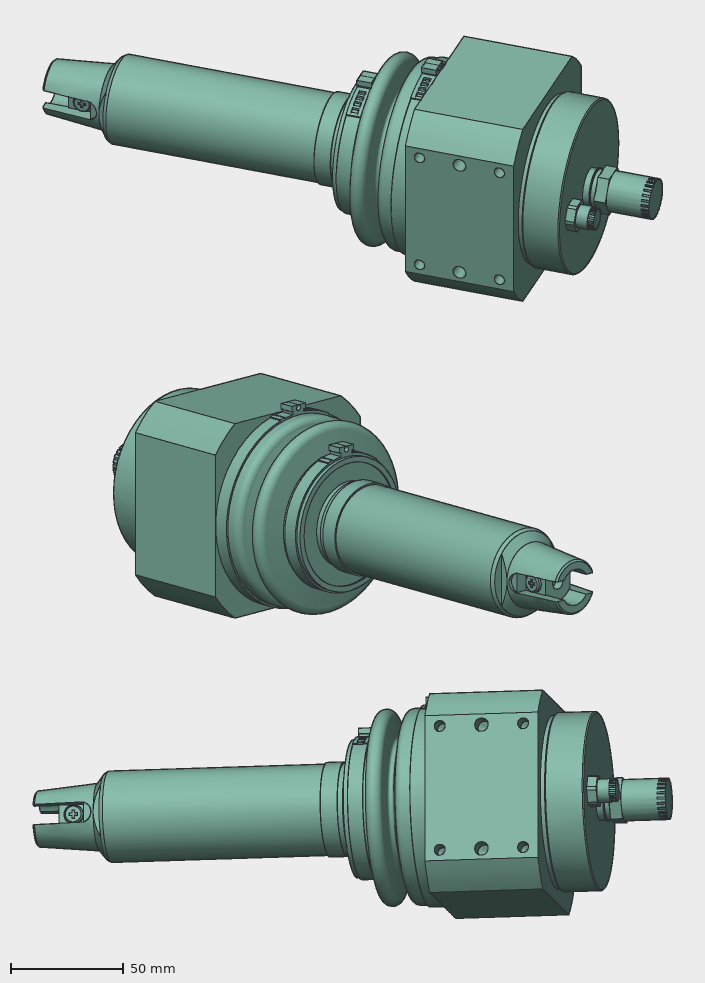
import cadquery as cq
import math

total_length = 285.5
total_height = 93.7

nose_tip_radius = 12.5
nose_base_radius = 15.0
nose_length = 28.0
tip_chamfer = 0.9
seat_diameter = 16.5
seat_depth = 11.0
pilot_diameter = 6.3
pilot_depth = 4.3
slot_width = 9.0
pocket_floor = 7.7
pocket_end = 23.5
relief_floor = 13.5
relief_end = 26.8
screw_x = 18.0
screw_diameter = 8.5
screw_top = 9.7
screw_bevel = 0.7
recess_length = 3.7
recess_width = 1.0
recess_depth = 0.9
flat_offset = 15.0
flat_end = 31.5

tube_diameter = 40.8
tube_radius = tube_diameter / 2
tube_start = 33.0
shoulder_radius = 19.5
collar_radius = 21.0
collar_start = 131.5
collar_end = 139.3
groove_start = 141.5
groove_radius = 19.7

cuff_start = 144.0
cuff_radius = 30.8
cuff_mouth_radius = 28.3
cuff_mouth_depth = 0.9
small_band_start = 146.0
fold_foot_start = 154.5
fold_center = 159.3
fold_radius = 44.0
fold_tip_rounding = 3.7
valley_start = 164.2
valley_end = 166.8
valley_radius = 31.5
valley_sag = 1.0
end_fold_rounding = 3.5
end_fold_start = 169.0

band_width = 6.9
band_thickness = 0.9
large_band_start = 176.5
ear_head_half_width = 4.3
ear_neck_half_width = 3.5
ear_head_height = 2.5
ear_root_depth = 2.9
small_ear_top = 35.7
ear_hole_diameter = 2.5
ear_hole_drop = 1.5
ear_foot_start = 8.5
ear_foot_end = 11.0
pad_thickness = 0.43
pad_end = 18.5
clamp_slot_count = 4
clamp_slot_length = 3.0
clamp_slot_width = 2.0
clamp_slot_pitch = 3.0
clamp_slot_first = 6.9
clamp_slot_depth = 0.9

block_start = large_band_start + band_width
block_end = 234.5
block_side = 90.0
block_corner_radius = 55.7
hole_height = 28.0
hole_spacing = 18.8
screw_hole_diameter = 4.9
dowel_hole_diameter = 6.0
block_hole_depth = 8.5
drill_point_angle = 118.0

cover_neck_radius = 38.8
cover_start = 236.5
cover_end = 254.0
cover_radius = 40.0
cover_chamfer = 0.5

stub_diameter = 17.5
barrel_diameter = 18.5
ring_start = 257.3
ring_width = 0.5
main_nut_start = 260.0
main_nut_end = 265.5
main_nut_flats = 18.5
main_knurl_length = 3.7
main_knurl_count = 24

side_y = -24.8
side_nut_end = 258.5
side_nut_flats = 13.0
side_nut_corners = 14.3
side_body_diameter = 10.5
side_body_end = 263.8
side_tip_diameter = 10.0
side_tip_end = 266.7
side_knurl_count = 16
knurl_depth = 0.43
knurl_width = 0.9

block_middle = (block_start + block_end) / 2
large_ear_top = total_height - block_side / 2


def box(x0, x1, y0, y1, z0, z1):
    """Box between two opposite corners."""
    return cq.Workplane("XY").box(x1 - x0, y1 - y0, z1 - z0, centered=False).translate((x0, y0, z0))


def rod(x0, x1, diameter, y=0.0, z=0.0):
    """Cylinder along X."""
    return cq.Workplane("YZ", origin=(x0, y, z)).circle(diameter / 2).extrude(x1 - x0)


def hexagon(x0, x1, across_flats):
    """Hexagonal prism along X with two corners pointing along Y."""
    corner_diameter = across_flats / math.cos(math.pi / 6)
    return cq.Workplane("YZ", origin=(x0, 0, 0)).polygon(6, corner_diameter).extrude(x1 - x0)


def turned_body():
    """Nose, tube and bellows, revolved about X up to the block."""
    fold_tip_base = fold_radius - fold_tip_rounding
    end_fold_base = fold_radius - end_fold_rounding
    end_fold_top_x = end_fold_start + end_fold_rounding
    diagonal = math.sqrt(0.5)
    profile = (
        cq.Workplane("XY")
        .moveTo(0, 0)
        .lineTo(0, nose_tip_radius - tip_chamfer)
        .lineTo(tip_chamfer, nose_tip_radius)
        .lineTo(nose_length, nose_base_radius)
        .lineTo(flat_end, shoulder_radius)
        .lineTo(tube_start, tube_radius)
        .lineTo(collar_start, tube_radius)
        .lineTo(collar_start, collar_radius)
        .lineTo(collar_end, collar_radius)
        .lineTo(collar_end, tube_radius)
        .lineTo(groove_start, tube_radius)
        .lineTo(groove_start, groove_radius)
        .lineTo(cuff_start + cuff_mouth_depth, groove_radius)
        .lineTo(cuff_start + cuff_mouth_depth, cuff_mouth_radius)
        .lineTo(cuff_start, cuff_mouth_radius)
        .lineTo(cuff_start, cuff_radius)
        .lineTo(fold_foot_start, cuff_radius)
        .lineTo(fold_center - fold_tip_rounding, fold_tip_base)
        .threePointArc((fold_center, fold_radius), (fold_center + fold_tip_rounding, fold_tip_base))
        .lineTo(valley_start, valley_radius)
        .threePointArc(
            ((valley_start + valley_end) / 2, valley_radius - valley_sag), (valley_end, valley_radius)
        )
        .lineTo(end_fold_start, end_fold_base)
        .threePointArc(
            (end_fold_top_x - end_fold_rounding * diagonal, end_fold_base + end_fold_rounding * diagonal),
            (end_fold_top_x, fold_radius),
        )
        .lineTo(block_start, fold_radius)
        .lineTo(block_start, 0)
        .close()
    )
    return profile.revolve(360, (0, 0, 0), (1, 0, 0))


def nose_screw():
    """Bevelled screw head with a cross recess, facing +Y."""
    head = (
        cq.Workplane("XZ", origin=(screw_x, screw_top, 0))
        .circle(screw_diameter / 2)
        .extrude(screw_top - pocket_floor)
        .faces(">Y")
        .chamfer(screw_bevel)
    )
    cross = cq.Workplane("XZ", origin=(screw_x, screw_top, 0)).rect(recess_length, recess_width)
    cross = cross.extrude(recess_depth)
    upright = cross.rotate((screw_x, 0, 0), (screw_x, 1, 0), 90)
    return head.cut(cross).cut(upright)


def cut_nose(body):
    """Round seat, cross slot, side pockets and wrench flats, plus the two screws."""
    half_slot = slot_width / 2
    reach = collar_radius
    body = body.cut(rod(0, seat_depth, seat_diameter))
    body = body.cut(rod(seat_depth, seat_depth + pilot_depth, pilot_diameter))
    body = body.cut(box(0, seat_depth, -reach, reach, -half_slot, half_slot))
    for side in (-1, 1):
        pocket = box(0, pocket_end, pocket_floor, reach, -half_slot, half_slot)
        round_end = (
            cq.Workplane("XZ", origin=(relief_end - half_slot, reach, 0))
            .circle(half_slot)
            .extrude(reach - relief_floor)
        )
        flat = box(0, flat_end, flat_offset, reach, -reach, reach)
        screw = nose_screw()
        cutter = pocket.union(round_end).union(flat)
        if side < 0:
            cutter = cutter.mirror("XZ")
            screw = screw.mirror("XZ")
        body = body.cut(cutter).union(screw)
    return body


def clamp(start, seat_radius, ear_top):
    """Hose clamp: band, crimped ear on top and a raised slotted pad on the -Y side."""
    end = start + band_width
    band_radius = seat_radius + band_thickness
    pad_radius = band_radius + pad_thickness
    base = seat_radius - ear_root_depth
    ring = rod(start, end, 2 * band_radius)
    pad_zone = box(start, end, -pad_end, ear_neck_half_width, 0, ear_top)
    foot_zone = box(start, end, ear_foot_start, ear_foot_end, 0, ear_top)
    ring = ring.union(rod(start, end, 2 * pad_radius).intersect(pad_zone.union(foot_zone)))
    neck = box(start, end, -ear_neck_half_width, ear_neck_half_width, base, ear_top)
    head = box(
        start, end, -ear_head_half_width, ear_head_half_width, ear_top - ear_head_height, ear_top
    )
    ring = ring.union(neck).union(head)
    ring = ring.cut(rod(start, end, ear_hole_diameter, 0, ear_top - ear_hole_drop))
    middle = (start + end) / 2
    slots = rod(start, end, 2 * pad_radius).cut(rod(start, end, 2 * (pad_radius - clamp_slot_depth)))
    for index in range(clamp_slot_count):
        y = -clamp_slot_first - index * clamp_slot_pitch
        window = box(
            middle - clamp_slot_length / 2,
            middle + clamp_slot_length / 2,
            y - clamp_slot_width / 2,
            y + clamp_slot_width / 2,
            0,
            ear_top,
        )
        ring = ring.cut(slots.intersect(window))
    return ring


def housing_block():
    """Square block with cylindrical corners and blind drilled holes in the -Y face."""
    half = block_side / 2
    block = box(block_start, block_end, -half, half, -half, half)
    block = block.intersect(rod(block_start, block_end, 2 * block_corner_radius))
    for column in (-1, 0, 1):
        diameter = dowel_hole_diameter if column == 0 else screw_hole_diameter
        for z in (-hole_height, hole_height):
            x = block_middle + column * hole_spacing
            hole = (
                cq.Workplane("XZ", origin=(x, block_hole_depth - half, z))
                .circle(diameter / 2)
                .extrude(block_hole_depth)
            )
            point_height = diameter / 2 / math.tan(math.radians(drill_point_angle / 2))
            point = cq.Solid.makeCone(
                diameter / 2,
                0,
                point_height,
                cq.Vector(x, block_hole_depth - half, z),
                cq.Vector(0, 1, 0),
            )
            block = block.cut(hole).cut(point)
    return block


def rear_cover():
    """Round cover on a slightly smaller neck."""
    cover = rod(cover_start, cover_end, 2 * cover_radius).edges().chamfer(cover_chamfer)
    return cover.union(rod(block_end, cover_start, 2 * cover_neck_radius))


def knurl(x0, x1, diameter, count, y=0.0):
    """Cylinder along X with axial grooves around it."""
    grip = rod(x0, x1, diameter)
    outer = diameter / 2
    groove = box(x0, x1, -knurl_width / 2, knurl_width / 2, outer - knurl_depth, outer + knurl_depth)
    for index in range(count):
        grip = grip.cut(groove.rotate((0, 0, 0), (1, 0, 0), (index + 0.5) * 360 / count))
    return grip.translate((0, y, 0))


def main_connector():
    """Central connector: stub, ring, nut, barrel and knurled end."""
    knurl_start = total_length - main_knurl_length
    connector = rod(cover_end, main_nut_start, stub_diameter)
    connector = connector.union(rod(ring_start, ring_start + ring_width, barrel_diameter))
    connector = connector.union(hexagon(main_nut_start, main_nut_end, main_nut_flats))
    connector = connector.union(rod(main_nut_end, knurl_start, barrel_diameter))
    return connector.union(knurl(knurl_start, total_length, barrel_diameter, main_knurl_count))


def side_connector():
    """Small connector beside the main one."""
    blunting = hexagon(cover_end, side_nut_end, side_nut_corners)
    blunting = blunting.rotate((0, 0, 0), (1, 0, 0), 30)
    connector = hexagon(cover_end, side_nut_end, side_nut_flats).intersect(blunting)
    connector = connector.translate((0, side_y, 0))
    connector = connector.union(rod(side_nut_end, side_body_end, side_body_diameter, side_y))
    tip = knurl(side_body_end, side_tip_end, side_tip_diameter, side_knurl_count, side_y)
    return connector.union(tip)


result = cut_nose(turned_body())
result = result.union(clamp(small_band_start, cuff_radius, small_ear_top))
result = result.union(clamp(large_band_start, fold_radius, large_ear_top))
result = result.union(housing_block())
result = result.union(rear_cover())
result = result.union(main_connector())
result = result.union(side_connector())